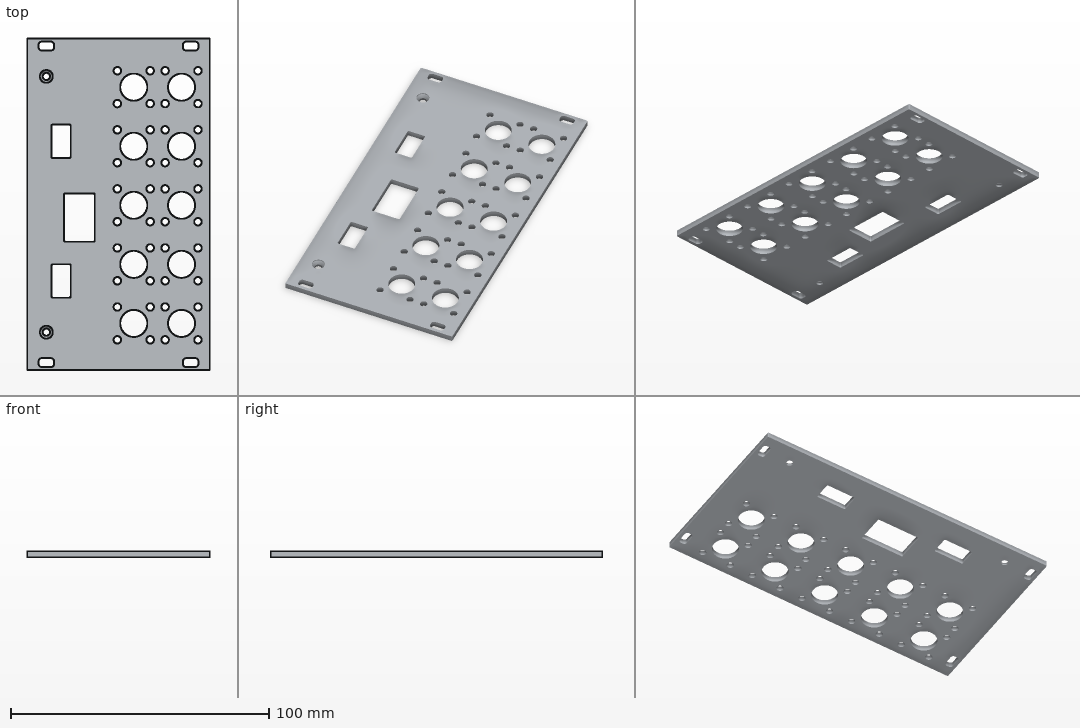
import cadquery as cq

WIDTH = 70.7
HEIGHT = 128.4
THICKNESS = 2.5
CORNER_RADIUS = 0.4

SLOT_SPACING_X = 55.9
SLOT_SPACING_Y = 122.5
SLOT_LENGTH = 5.9
SLOT_WIDTH = 3.3
SLOT_CORNER_RADIUS = 1.2

SCREW_X = -SLOT_SPACING_X / 2
SCREW_SPACING_Y = 99.0
SCREW_DIAMETER = 2.7
SCREW_HEAD_DIAMETER = 5.0
SCREW_HEAD_ANGLE = 90.0
SCREW_RECESS_DEPTH = 0.4

SMALL_WINDOW_WIDTH = 7.3
SMALL_WINDOW_HEIGHT = 12.8
SMALL_WINDOW_X = -22.2
UPPER_WINDOW_Y = 24.4
LOWER_WINDOW_Y = -29.7
LARGE_WINDOW_WIDTH = 11.8
LARGE_WINDOW_HEIGHT = 18.6
LARGE_WINDOW_X = -15.2
LARGE_WINDOW_Y = -5.1
WINDOW_CORNER_RADIUS = 0.4

SOCKET_COLUMNS = 2
SOCKET_ROWS = 5
SOCKET_PITCH_X = 18.5
SOCKET_PITCH_Y = 22.9
SOCKET_GRID_X = 15.2
SOCKET_GRID_Y = -0.4
SOCKET_BORE = 10.4
FIXING_SPACING = 12.7
FIXING_DIAMETER = 2.8


def rectangle_corners(width, height, center=(0, 0)):
    """Corner points of an axis-aligned rectangle."""
    x, y = center
    return [(x + i * width / 2, y + j * height / 2) for i in (-1, 1) for j in (-1, 1)]


def socket_centers():
    """Centres of the sockets, column by column."""
    first_x = SOCKET_GRID_X - SOCKET_PITCH_X * (SOCKET_COLUMNS - 1) / 2
    first_y = SOCKET_GRID_Y - SOCKET_PITCH_Y * (SOCKET_ROWS - 1) / 2
    return [
        (first_x + column * SOCKET_PITCH_X, first_y + row * SOCKET_PITCH_Y)
        for column in range(SOCKET_COLUMNS)
        for row in range(SOCKET_ROWS)
    ]


def rounded_plate(width, height, corner_radius, center=(0, 0)):
    """Rectangular block of the panel's thickness with rounded vertical edges."""
    block = cq.Workplane("XY").center(*center).rect(width, height).extrude(THICKNESS)
    return block.edges("|Z").fillet(corner_radius)


def sockets():
    """Cutters for the socket bores and their fixing holes."""
    centers = socket_centers()
    fixings = [
        point
        for center in centers
        for point in rectangle_corners(FIXING_SPACING, FIXING_SPACING, center)
    ]
    bores = cq.Workplane("XY").pushPoints(centers).circle(SOCKET_BORE / 2).extrude(THICKNESS)
    return bores.pushPoints(fixings).circle(FIXING_DIAMETER / 2).extrude(THICKNESS)


panel = rounded_plate(WIDTH, HEIGHT, CORNER_RADIUS)
panel = panel.cut(sockets())

for slot_center in rectangle_corners(SLOT_SPACING_X, SLOT_SPACING_Y):
    panel = panel.cut(rounded_plate(SLOT_LENGTH, SLOT_WIDTH, SLOT_CORNER_RADIUS, slot_center))

windows = [
    (SMALL_WINDOW_WIDTH, SMALL_WINDOW_HEIGHT, (SMALL_WINDOW_X, UPPER_WINDOW_Y)),
    (SMALL_WINDOW_WIDTH, SMALL_WINDOW_HEIGHT, (SMALL_WINDOW_X, LOWER_WINDOW_Y)),
    (LARGE_WINDOW_WIDTH, LARGE_WINDOW_HEIGHT, (LARGE_WINDOW_X, LARGE_WINDOW_Y)),
]
for window_width, window_height, window_center in windows:
    panel = panel.cut(rounded_plate(window_width, window_height, WINDOW_CORNER_RADIUS, window_center))

screw_points = [(SCREW_X, side * SCREW_SPACING_Y / 2) for side in (-1, 1)]
recess_floor = THICKNESS - SCREW_RECESS_DEPTH
recesses = (
    cq.Workplane("XY")
    .workplane(offset=recess_floor)
    .pushPoints(screw_points)
    .circle(SCREW_HEAD_DIAMETER / 2)
    .extrude(SCREW_RECESS_DEPTH)
)
result = (
    panel.cut(recesses)
    .copyWorkplane(cq.Workplane("XY", origin=(0, 0, recess_floor)))
    .pushPoints(screw_points)
    .cskHole(SCREW_DIAMETER, SCREW_HEAD_DIAMETER, SCREW_HEAD_ANGLE)
)